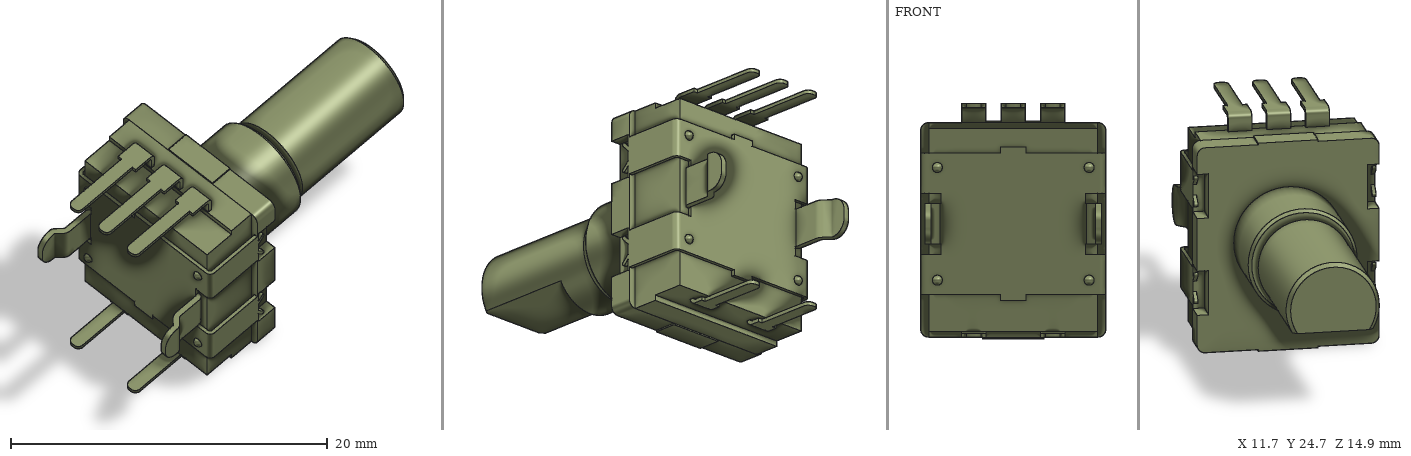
import cadquery as cq
import math


shaft_tip_y = 15.0
shaft_diameter = 6.0
shaft_radius = shaft_diameter / 2
shaft_chamfer = 0.25
knob_end_y = 5.5
flat_end_y = 8.0
flat_z = -1.5
neck_radius = 2.0

bushing_radius = 3.5
bushing_length = 5.0
bushing_chamfer = 0.2
flange_thickness = 1.6
flange_half_width = 5.85
flange_top_z = 6.4
flange_bottom_z = -7.16
flange_corner_radius = 0.52
pad_half_width = 1.93
pad_height = 0.1

sheet = 0.25
strap_half_height = 4.47
bend_outer_radius = 0.4
window_half_height = 1.93
window_inner_x = 4.57
tab_half_width = 0.8
tab_length = 0.37
arm_center_z = (strap_half_height + window_half_height) / 2
recess_length = 1.48
recess_depth = 0.75
recess_height = 2.91

prong_angle = 45
prong_width = 0.25
prong_root_z = 0.52
prong_reach = 0.37

rivet_radius = 0.32
rivet_sink = 0.05
rivet_x = 4.8
rivet_z = 3.55

leg_outer_x = 5.01
leg_thickness = 0.4
leg_half_width = 1.28
leg_step = 0.57
leg_step_y = -7.85
leg_step_angle = 45
leg_root_radius = 0.37
first_bend_radius = 0.3
second_bend_radius = 0.07
leg_tip_radius = 1.04

base_half_width = 5.34
base_back_y = -5.65
base_step_y = -3.43
base_step_depth = 0.37
cover_back_y = base_back_y - sheet

tip_y = -9.7
pin_pitch = 2.5
pin_thickness = 0.25
foot_thickness = 0.3
root_burial = 0.5
foot_width = 1.53
blade_width = 0.95
pin_bend_radius = 0.45
pin_tip_radius = 0.4
upper_pin_z = 7.6
upper_root_y = -3.06
upper_foot_end_y = -4.8
lower_pin_z = flange_bottom_z
lower_root_y = -4.45
lower_foot_end_y = -5.5


def cylinder_along_y(radius, y_start, y_end):
    return cq.Workplane("XZ", origin=(0, y_start, 0)).circle(radius).extrude(y_start - y_end)


def box_between(x_range, y_range, z_range):
    spans = [sorted(x_range), sorted(y_range), sorted(z_range)]
    sizes = [high - low for low, high in spans]
    corner = tuple(low for low, high in spans)
    return cq.Workplane(origin=corner).box(*sizes, centered=False)


def both_sides(shape):
    return shape.union(shape.mirror("YZ"))


def round_edges(shape, direction, points_and_radii):
    for point, radius in points_and_radii:
        shape = shape.edges(direction).edges(cq.selectors.NearestToPointSelector(point)).fillet(radius)
    return shape


def make_shaft():
    knob = cylinder_along_y(shaft_radius, knob_end_y, shaft_tip_y).faces(">Y").chamfer(shaft_chamfer)
    flat_cut = box_between(
        (-shaft_radius, shaft_radius), (flat_end_y, shaft_tip_y), (-shaft_radius, flat_z)
    )
    neck = cylinder_along_y(neck_radius, -flange_thickness, knob_end_y)
    return knob.cut(flat_cut).union(neck)


def make_flange():
    y_range = (-flange_thickness, 0)
    flange = box_between(
        (-flange_half_width, flange_half_width), y_range, (flange_bottom_z, flange_top_z)
    )
    flange = flange.edges("|Y").fillet(flange_corner_radius)
    pad = box_between(
        (-pad_half_width, pad_half_width),
        y_range,
        (flange_bottom_z - pad_height, flange_top_z + pad_height),
    )
    return flange.union(pad)


def make_bushing():
    return cylinder_along_y(bushing_radius, 0, bushing_length).faces(">Y").chamfer(bushing_chamfer)


def make_arm_recess(arm_z):
    """The pocket in the right-hand side of the flange in front of one arm."""
    return box_between(
        (flange_half_width - recess_depth, flange_half_width),
        (-recess_length, 0),
        (arm_z - recess_height / 2, arm_z + recess_height / 2),
    )


def make_strap():
    z_range = (-strap_half_height, strap_half_height)
    outer = box_between(
        (-flange_half_width, flange_half_width), (cover_back_y, -recess_length), z_range
    )
    outer = outer.edges("|Z and <Y").fillet(bend_outer_radius)
    inner_half_width = flange_half_width - sheet
    inner = box_between(
        (-inner_half_width, inner_half_width), (base_back_y, -recess_length), z_range
    )
    inner = inner.edges("|Z and <Y").fillet(bend_outer_radius - sheet)
    window = box_between(
        (window_inner_x, flange_half_width),
        (cover_back_y, -recess_length),
        (-window_half_height, window_half_height),
    )
    tab_reach = strap_half_height + tab_length
    tabs = box_between(
        (-tab_half_width, tab_half_width), (cover_back_y, base_back_y), (-tab_reach, tab_reach)
    )
    return outer.cut(inner).cut(both_sides(window)).union(tabs)


def make_prong(arm_z, direction):
    """One prong with a rounded tip, slanting forward and away from the middle of its arm."""
    root_z = arm_z + direction * prong_root_z
    outline = cq.Workplane(
        "YZ", origin=(flange_half_width - sheet, -recess_length, root_z)
    ).transformed(rotate=(0, 0, direction * prong_angle))
    length = prong_reach / math.cos(math.radians(prong_angle))
    bar = outline.rect(2 * length, prong_width).extrude(sheet)
    tip = outline.center(length, 0).circle(prong_width / 2).extrude(sheet)
    return bar.union(tip)


def make_rivet(x, z):
    """A domed head whose flat side is sunk a little into the cover."""
    return cq.Workplane("XZ", origin=(x, cover_back_y + rivet_sink, z)).sphere(rivet_radius, angle1=0)


def make_leg():
    """Right-hand leg: bent off the cover edge, stepped outward, with a rounded tip."""
    leg_inner_x = leg_outer_x - leg_thickness
    step_end_y = leg_step_y - leg_step / math.tan(math.radians(leg_step_angle))
    bend_shift = leg_thickness * math.tan(math.radians(leg_step_angle / 2))
    outline = [
        (window_inner_x, base_back_y),
        (leg_outer_x, base_back_y),
        (leg_outer_x, leg_step_y),
        (leg_outer_x + leg_step, step_end_y),
        (leg_outer_x + leg_step, tip_y),
        (leg_inner_x + leg_step, tip_y),
        (leg_inner_x + leg_step, step_end_y - bend_shift),
        (leg_inner_x, leg_step_y - bend_shift),
        (leg_inner_x, cover_back_y),
        (window_inner_x, cover_back_y),
    ]
    leg = cq.Workplane("XY").polyline(outline).close().extrude(leg_half_width, both=True)
    bends = [
        ((leg_outer_x, base_back_y, 0), leg_root_radius),
        ((leg_outer_x, leg_step_y, 0), first_bend_radius),
        ((leg_inner_x, leg_step_y - bend_shift, 0), first_bend_radius + leg_thickness),
        ((leg_inner_x + leg_step, step_end_y - bend_shift, 0), second_bend_radius),
        ((leg_outer_x + leg_step, step_end_y, 0), second_bend_radius + leg_thickness),
    ]
    leg = round_edges(leg, "|Z", bends)
    return leg.edges("|X and <Y").fillet(leg_tip_radius)


def make_frame():
    arm_centers = (-arm_center_z, arm_center_z)
    frame = make_flange().union(make_bushing())
    for arm_z in arm_centers:
        frame = frame.cut(both_sides(make_arm_recess(arm_z)))
    frame = frame.union(make_strap()).union(both_sides(make_leg()))
    for arm_z in arm_centers:
        for direction in (-1, 1):
            frame = frame.union(both_sides(make_prong(arm_z, direction)))
    for z in (-rivet_z, rivet_z):
        frame = frame.union(both_sides(make_rivet(rivet_x, z)))
    shaft_hole = cylinder_along_y(neck_radius, -flange_thickness, bushing_length)
    return frame.cut(shaft_hole)


def make_terminal(x, outer_z, root_y, foot_end_y, surface_z):
    """A bent foot that rises out of the base, carrying a narrower blade with a rounded tip."""
    inward = -1 if outer_z > 0 else 1
    inner_z = outer_z + inward * pin_thickness
    buried_z = surface_z + inward * root_burial
    foot_profile = [
        (root_y, buried_z),
        (root_y, outer_z),
        (foot_end_y, outer_z),
        (foot_end_y, inner_z),
        (root_y - foot_thickness, inner_z),
        (root_y - foot_thickness, buried_z),
    ]
    foot = (
        cq.Workplane("YZ", origin=(x, 0, 0))
        .polyline(foot_profile)
        .close()
        .extrude(foot_width / 2, both=True)
    )
    inner_bend = ((x, root_y - foot_thickness, inner_z), pin_bend_radius - pin_thickness)
    foot = round_edges(foot, "|X", [((x, root_y, outer_z), pin_bend_radius), inner_bend])
    blade = box_between(
        (x - blade_width / 2, x + blade_width / 2), (tip_y, foot_end_y), (inner_z, outer_z)
    )
    return foot.union(blade.edges("|Z and <Y").fillet(pin_tip_radius))


def make_base():
    x_range = (-base_half_width, base_half_width)
    step_top_z = flange_top_z - base_step_depth
    step_bottom_z = flange_bottom_z + base_step_depth
    front = box_between(x_range, (base_step_y, -flange_thickness), (flange_bottom_z, flange_top_z))
    back = box_between(x_range, (base_back_y, base_step_y), (step_bottom_z, step_top_z))
    base = front.union(back)
    for x in (-pin_pitch, 0, pin_pitch):
        base = base.union(make_terminal(x, upper_pin_z, upper_root_y, upper_foot_end_y, step_top_z))
    for x in (-pin_pitch, pin_pitch):
        base = base.union(make_terminal(x, lower_pin_z, lower_root_y, lower_foot_end_y, step_bottom_z))
    return base


shaft = make_shaft().solids()
frame = make_frame().solids()
base = make_base().solids()

result = cq.Compound.makeCompound([shaft.val(), frame.val(), base.val()])